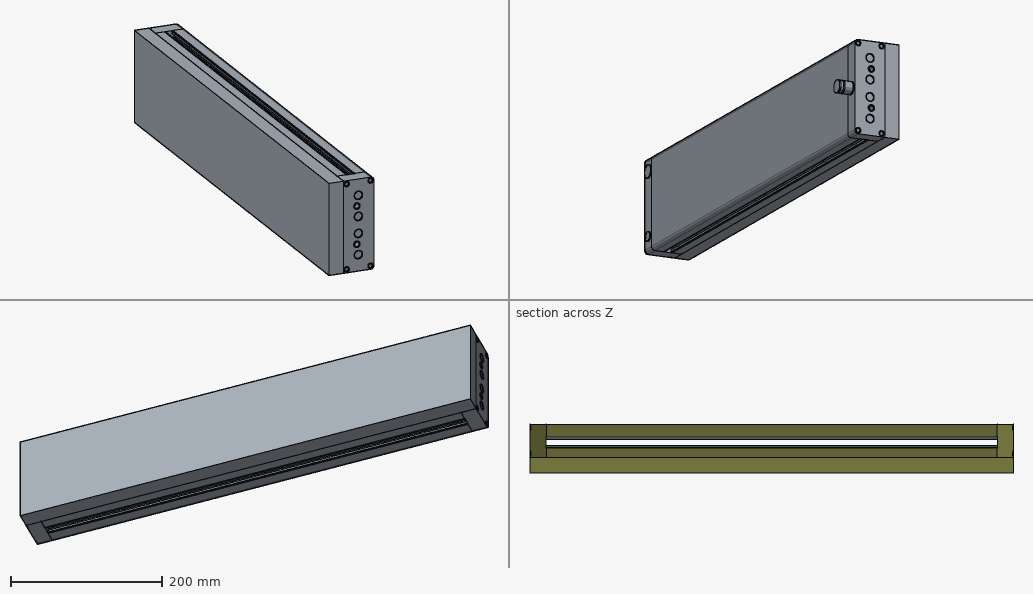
import cadquery as cq

LENGTH = 640.0
HEIGHT = 130.0
COVER_DEPTH = 21.0
HOUSING_DEPTH = 44.0
CAP_LENGTH = 21.5
BACK_FILLET = 5.0

BODY_DEPTH = COVER_DEPTH + HOUSING_DEPTH
OVERALL_DEPTH = 86.2
PROFILE_LENGTH = LENGTH - 2 * CAP_LENGTH
CAP_CENTRE_X = (LENGTH - CAP_LENGTH) / 2
HOUSING_CENTRE_Y = COVER_DEPTH + HOUSING_DEPTH / 2

SLOT_CENTRE_Y = 40.7
SLOT_MOUTH_WIDTH = 11.6
SLOT_MOUTH_DEPTH = 1.0
SLOT_NECK_WIDTH = 8.2
SLOT_NECK_DEPTH = 4.0
SLOT_CAVITY_WIDTH = 14.0
SLOT_DEPTH = 9.0

SCREW_INSET_Z = 4.9
SCREW_INSET_FRONT = 4.6
SCREW_INSET_BACK = 5.0
SCREW_ROWS_Y = (COVER_DEPTH + SCREW_INSET_FRONT, BODY_DEPTH - SCREW_INSET_BACK)
SCREW_STEPS = ((7.6, 0.5), (5.2, 1.0))

DISC_STEPS = ((12.0, 0.5), (10.8, 1.0))
DISC_Y = 42.5
DISC_HEIGHTS = (12.0, 41.8)
SIDE_HOLE_STEPS = ((9.0, 1.0), (6.5, 10.0))
SIDE_HOLE_HEIGHT = sum(DISC_HEIGHTS) / 2
SIDE_HOLE_Y = 40.5

CONNECTOR_X = -308.9
CONNECTOR_DIAMETER = 18.0
CONNECTOR_BODY_DIAMETER = 17.6
CONNECTOR_FLANGE = 1.5
CONNECTOR_RIM = 2.0
CONNECTOR_GROOVE = 4.0
CONNECTOR_COLLAR = 2.0

PLUG_X = 308.2
PLUG_THICKNESS = 1.4
UPPER_PLUG_DIAMETER = 18.6
UPPER_PLUG_Z = 45.8
LOWER_PLUG_DIAMETER = 13.5
LOWER_PLUG_Z = -43.8


def housing_block(length, centre_x):
    """Block behind the cover, with the two long back edges rounded."""
    block = cq.Workplane("XY").box(length, HOUSING_DEPTH, HEIGHT)
    block = block.edges("|X and >Y").fillet(BACK_FILLET)
    return block.translate((centre_x, HOUSING_CENTRE_Y, 0))


def back_cylinder(x, z, diameter, start_y, length):
    """Cylinder standing toward +Y."""
    disc = cq.Solid.makeCylinder(diameter / 2, length, cq.Vector(x, start_y, z), cq.Vector(0, 1, 0))
    return cq.Workplane(disc)


def make_cover():
    """Plain block closing the whole front."""
    cover = cq.Workplane("XY").box(LENGTH, COVER_DEPTH, HEIGHT)
    return cover.translate((0, COVER_DEPTH / 2, 0))


def make_profile():
    """Middle length of the housing, with a T-slot along its top and bottom."""
    profile = housing_block(PROFILE_LENGTH, 0)
    steps = (
        (SLOT_MOUTH_WIDTH, 0, SLOT_MOUTH_DEPTH),
        (SLOT_NECK_WIDTH, SLOT_MOUTH_DEPTH, SLOT_NECK_DEPTH),
        (SLOT_CAVITY_WIDTH, SLOT_NECK_DEPTH, SLOT_DEPTH),
    )
    for side in (-1, 1):
        for width, start, end in steps:
            slot = cq.Workplane("XY").box(PROFILE_LENGTH, width, end - start)
            slot_z = side * (HEIGHT - start - end) / 2
            profile = profile.cut(slot.translate((0, SLOT_CENTRE_Y, slot_z)))
    return profile


def make_cap(side):
    """End cap; side is -1 for the left end and +1 for the right end."""
    cap = housing_block(CAP_LENGTH, side * CAP_CENTRE_X)

    def drill(y, z, steps):
        """Cap with one stepped round recess sunk into its end face."""
        start = cq.Vector(side * LENGTH / 2, y, z)
        inward = cq.Vector(-side, 0, 0)
        drilled = cap
        for diameter, depth in steps:
            bore = cq.Solid.makeCylinder(diameter / 2, depth, start, inward)
            drilled = drilled.cut(cq.Workplane(bore))
        return drilled

    for z_side in (-1, 1):
        for y in SCREW_ROWS_Y:
            cap = drill(y, z_side * (HEIGHT / 2 - SCREW_INSET_Z), SCREW_STEPS)
        for height in DISC_HEIGHTS:
            cap = drill(DISC_Y, z_side * height, DISC_STEPS)
        cap = drill(SIDE_HOLE_Y, z_side * SIDE_HOLE_HEIGHT, SIDE_HOLE_STEPS)
    return cap


def add_connector(cap):
    """Connector on the cap's back: base flange, body, collar, groove and end rim."""
    total = OVERALL_DEPTH - BODY_DEPTH
    head = CONNECTOR_COLLAR + CONNECTOR_GROOVE + CONNECTOR_RIM
    sections = (
        (CONNECTOR_DIAMETER, CONNECTOR_FLANGE),
        (CONNECTOR_BODY_DIAMETER, total - CONNECTOR_FLANGE - head),
        (CONNECTOR_DIAMETER, CONNECTOR_COLLAR),
        (CONNECTOR_BODY_DIAMETER, CONNECTOR_GROOVE),
        (CONNECTOR_DIAMETER, CONNECTOR_RIM),
    )
    y = BODY_DEPTH
    for diameter, length in sections:
        cap = cap.union(back_cylinder(CONNECTOR_X, 0, diameter, y, length))
        y += length
    return cap


def add_plugs(cap):
    """Two low round covers, one above the other on the cap's back."""
    plugs = ((UPPER_PLUG_Z, UPPER_PLUG_DIAMETER), (LOWER_PLUG_Z, LOWER_PLUG_DIAMETER))
    for z, diameter in plugs:
        cap = cap.union(back_cylinder(PLUG_X, z, diameter, BODY_DEPTH, PLUG_THICKNESS))
    return cap


cover = make_cover()
profile = make_profile()
left_cap = add_connector(make_cap(-1))
right_cap = add_plugs(make_cap(1))

result = cq.Compound.makeCompound([cover.val(), profile.val(), left_cap.val(), right_cap.val()])